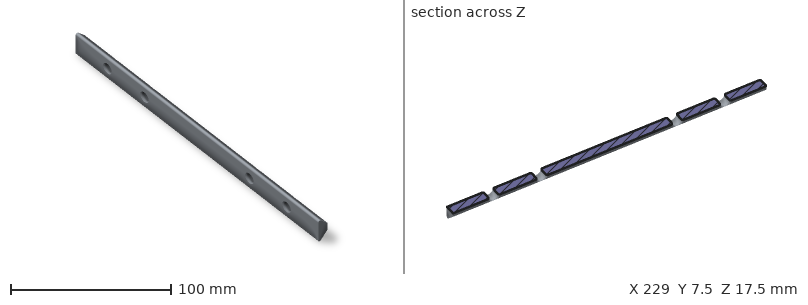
import cadquery as cq
import math

length = 229.0
thickness = 7.5
height = 17.5

edge_radius = 1.2
flank_angle = math.radians(45)
round_overhang = edge_radius / math.tan(flank_angle / 2) - edge_radius
wide_half_height = height / 2 + round_overhang
narrow_half_height = wide_half_height - thickness / math.tan(flank_angle)

hole_diameter = 6.65
countersink_diameter = 8.0
countersink_angle = 90.0
inner_hole_offset = 49.5
outer_hole_offset = 84.5


def make_bar():
    """Extrude the trapezoidal section along X and round the long edges of the wide face."""
    wide_y = -thickness / 2
    narrow_y = thickness / 2
    section = [
        (wide_y, -wide_half_height),
        (narrow_y, -narrow_half_height),
        (narrow_y, narrow_half_height),
        (wide_y, wide_half_height),
    ]
    bar = cq.Workplane("YZ").polyline(section).close().extrude(length / 2, both=True)
    return bar.faces("<Y").edges("|X").fillet(edge_radius)


def drill_holes(bar):
    """Drill the four through holes, with a shallow countersink at both ends of each."""
    centres = [
        (side * offset, 0)
        for side in (-1, 1)
        for offset in (inner_hole_offset, outer_hole_offset)
    ]
    for face in ("<Y", ">Y"):
        bar = (
            bar.faces(face)
            .workplane(origin=(0, 0, 0))
            .pushPoints(centres)
            .cskHole(hole_diameter, countersink_diameter, countersink_angle)
        )
    return bar


result = drill_holes(make_bar())